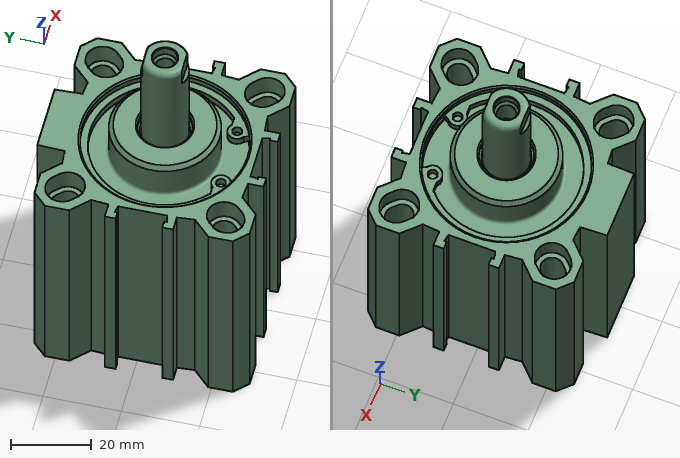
import cadquery as cq
import math

total_height = 92.0
total_depth = 58.0
housing_height = 59.5
half_width = 27.5

post_chamfer = 3.5
post_offset = 9.75
wall_at_post = 23.0
wall_at_rail = 23.4

rail_outer = 8.7
rail_inner = 6.0
rail_root = 6.3
rail_notch = 6.6
rail_tip = 27.3
rail_lip = 25.3

block_face = total_depth - half_width
block_half_root = 9.4
block_half_face = 9.1

mount_offset = 20.5
mount_diameter = 5.8
mount_stretch = 1.6
mount_recess_diameter = 8.6
mount_recess_depth = 5.7

bore_diameter = 42.2
bore_mouth_diameter = 43.15

gland_bottom = 40.5
flange_top = 55.5
flange_chamfer = 0.2
boss_diameter = 28.0
boss_top = 65.4
boss_chamfer = 1.1
boss_fillet = 0.8

wiper_diameter = 13.7
wiper_depth = 1.7
wiper_mouth_chamfer = 0.5
lip_diameter = 12.5
lip_depth = 2.8

ring_groove_diameter = 44.7
ring_inner_diameter = 38.4
ring_thickness = 2.0
ear_x = 8.5
ear_y = -16.4
ear_diameter = 4.9
ear_hole_diameter = 2.5
ear_shoulder_y = -14.6
ring_end_x = 8.3

rod_diameter = 12.0
rod_fillet = 1.4
flat_width = 10.0
flat_length = 4.7
flat_slope = 0.8
socket_diameter = 6.3
socket_depth = 2.6
socket_rim_chamfer = 0.2
thread_diameter = 4.9
thread_depth = 11.0
drill_angle = 118.0


def cylinder(diameter, bottom, top):
    return cq.Workplane("XY").workplane(offset=bottom).circle(diameter / 2).extrude(top - bottom)


def cone(lower_diameter, upper_diameter, bottom, top):
    return cq.Workplane(
        cq.Solid.makeCone(lower_diameter / 2, upper_diameter / 2, top - bottom, cq.Vector(0, 0, bottom))
    )


def turned(points, angle):
    """The points turned about the Z axis by an angle in degrees."""
    c = math.cos(math.radians(angle))
    s = math.sin(math.radians(angle))
    return [(x * c - y * s, x * s + y * c) for x, y in points]


def rail_side():
    """Outline of one side of the housing with its two rails, on the +X side from -Y to +Y."""
    upper_rail = [
        (wall_at_rail, rail_root),
        (rail_lip, rail_notch),
        (rail_lip, rail_inner),
        (rail_tip, rail_inner),
        (rail_tip, rail_outer),
        (wall_at_rail, rail_outer),
    ]
    lower_rail = [(x, -y) for x, y in reversed(upper_rail)]
    return lower_rail + upper_rail


def block_side():
    """Outline of the side that carries the block, on the +X side from -Y to +Y."""
    return [
        (wall_at_rail, -block_half_root),
        (block_face, -block_half_face),
        (block_face, block_half_face),
        (wall_at_rail, block_half_root),
    ]


def post():
    """Outline of the corner post between the +X and +Y sides."""
    near = [
        (wall_at_post, wall_at_post - post_offset),
        (half_width, half_width - post_offset),
        (half_width, half_width - post_chamfer),
    ]
    return near + [(y, x) for x, y in reversed(near)]


def mount_slot(diameter, bottom, x_side, y_side):
    """Cutter for one mounting slot, from a given height up to the top of the housing."""
    return (
        cq.Workplane("XY")
        .workplane(offset=bottom)
        .center(x_side * mount_offset, y_side * mount_offset)
        .slot2D(diameter + mount_stretch, diameter, 45 * x_side * y_side)
        .extrude(housing_height - bottom)
    )


def make_housing():
    outline = []
    for angle in (0, 90, 180, 270):
        side = block_side() if angle == 90 else rail_side()
        outline += turned(side + post(), angle)
    body = cq.Workplane("XY").polyline(outline).close().extrude(housing_height)

    recess_floor = housing_height - mount_recess_depth
    for x_side in (-1, 1):
        for y_side in (-1, 1):
            body = body.cut(mount_slot(mount_diameter, 0, x_side, y_side))
            body = body.cut(mount_slot(mount_recess_diameter, recess_floor, x_side, y_side))

    mouth_chamfer = (bore_mouth_diameter - bore_diameter) / 2
    body = body.cut(cylinder(bore_diameter, gland_bottom, housing_height))
    body = body.cut(cone(bore_diameter, bore_mouth_diameter, housing_height - mouth_chamfer, housing_height))
    return body.cut(cylinder(ring_groove_diameter, flange_top, flange_top + ring_thickness))


def boss_fillet_section():
    """Section of the fillet between the boss and the flange, with a small overlap into the boss."""
    boss_radius = boss_diameter / 2
    return (
        cq.Workplane("XZ")
        .moveTo(boss_radius - boss_fillet, flange_top)
        .lineTo(boss_radius + boss_fillet, flange_top)
        .radiusArc((boss_radius, flange_top + boss_fillet), boss_fillet)
        .lineTo(boss_radius - boss_fillet, flange_top + boss_fillet)
        .close()
    )


def make_gland():
    flange = cylinder(bore_diameter, gland_bottom, flange_top).faces(">Z").edges().chamfer(flange_chamfer)
    boss = cylinder(boss_diameter, gland_bottom, boss_top).faces(">Z").edges().chamfer(boss_chamfer)
    fillet = boss_fillet_section().revolve(360, (0, 0, 0), (0, 1, 0))
    body = flange.union(boss).union(fillet)

    mouth_diameter = wiper_diameter + 2 * wiper_mouth_chamfer
    body = body.cut(cylinder(rod_diameter, gland_bottom, boss_top))
    body = body.cut(cylinder(lip_diameter, boss_top - lip_depth, boss_top))
    body = body.cut(cylinder(wiper_diameter, boss_top - wiper_depth, boss_top))
    return body.cut(cone(wiper_diameter, mouth_diameter, boss_top - wiper_mouth_chamfer, boss_top))


def make_snap_ring():
    plane = cq.Workplane("XY").workplane(offset=flange_top)
    inner_radius = ring_inner_diameter / 2
    outer_radius = ring_groove_diameter / 2
    ring = plane.circle(outer_radius).circle(inner_radius).extrude(ring_thickness)

    ear_edge_x = ear_x - ear_diameter / 2
    ring_end_y = -math.sqrt(outer_radius**2 - ring_end_x**2)
    right_end = [(ear_edge_x, ear_y), (ring_end_x, ring_end_y), (ring_end_x, -outer_radius)]
    left_end = [(-x, y) for x, y in reversed(right_end)]
    ring = ring.cut(plane.polyline(right_end + left_end).close().extrude(ring_thickness))

    shoulder_x = math.sqrt(inner_radius**2 - ear_shoulder_y**2)
    for side in (-1, 1):
        web = [
            (side * shoulder_x, ear_shoulder_y),
            (side * ear_x, ear_shoulder_y),
            (side * ear_edge_x, ear_y),
            (side * ring_end_x, ring_end_y),
        ]
        ear = plane.center(side * ear_x, ear_y)
        ring = ring.union(plane.polyline(web).close().extrude(ring_thickness))
        ring = ring.union(ear.circle(ear_diameter / 2).extrude(ring_thickness))
        ring = ring.cut(ear.circle(ear_hole_diameter / 2).extrude(ring_thickness))
    return ring


def wrench_flat(side):
    """Cutter for the flat on the -Y or +Y side, with its sloped run-out at the bottom."""
    radius = rod_diameter / 2
    flat_bottom = total_height - flat_length
    section = [
        (side * flat_width / 2, total_height),
        (side * flat_width / 2, flat_bottom),
        (side * radius, flat_bottom - flat_slope),
        (side * radius, total_height),
    ]
    return cq.Workplane("YZ").polyline(section).close().extrude(radius, both=True)


def end_hole():
    """Cutter for the threaded hole in the rod end: rim, socket, tapered step, thread, drill point."""
    socket_floor = total_height - socket_depth
    step_floor = socket_floor - (socket_diameter - thread_diameter) / 2
    thread_floor = total_height - thread_depth
    tip_height = thread_diameter / 2 / math.tan(math.radians(drill_angle / 2))
    rim_diameter = socket_diameter + 2 * socket_rim_chamfer
    return (
        cylinder(thread_diameter, thread_floor, socket_floor)
        .union(cone(0, thread_diameter, thread_floor - tip_height, thread_floor))
        .union(cone(thread_diameter, socket_diameter, step_floor, socket_floor))
        .union(cylinder(socket_diameter, socket_floor, total_height))
        .union(cone(socket_diameter, rim_diameter, total_height - socket_rim_chamfer, total_height))
    )


def make_rod():
    body = cylinder(rod_diameter, gland_bottom, total_height).faces(">Z").edges().fillet(rod_fillet)
    for side in (-1, 1):
        body = body.cut(wrench_flat(side))
    return body.cut(end_hole())


housing = make_housing()
gland = make_gland()
snap_ring = make_snap_ring()
rod = make_rod()
result = cq.Compound.makeCompound([housing.val(), gland.val(), snap_ring.val(), rod.val()])